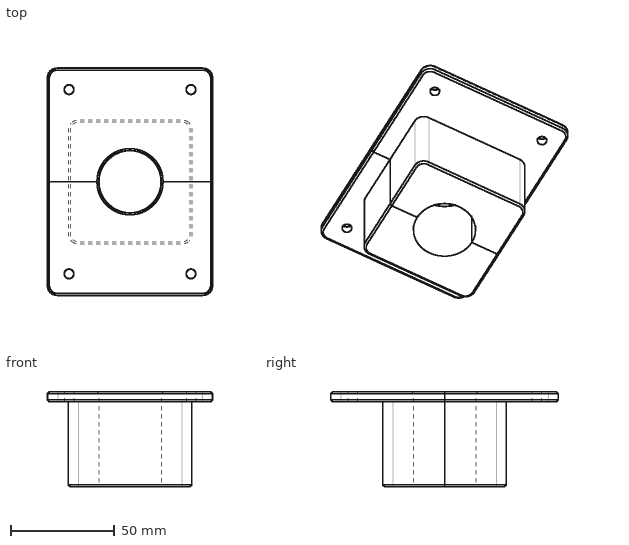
import cadquery as cq

flange_length = 110.0
flange_width = 80.0
flange_thickness = 5.0

total_height = 46.0
block_side = 60.0
block_height = total_height - flange_thickness

corner_radius = 5.0
edge_chamfer = 1.0

bore_diameter = 30.0
countersink_angle = 90.0
mount_hole_diameter = 4.5
mount_hole_x = 29.5
mount_hole_y = 44.5


def make_flange():
    """Rounded plate standing on Z = 0, chamfered around both faces."""
    return (
        cq.Workplane("XY")
        .rect(flange_width, flange_length)
        .extrude(flange_thickness)
        .edges("|Z")
        .fillet(corner_radius)
        .faces("<Z or >Z")
        .edges()
        .chamfer(edge_chamfer)
    )


def make_block():
    """Rounded square block hanging below Z = 0, chamfered at its bottom."""
    return (
        cq.Workplane("XY")
        .rect(block_side, block_side)
        .extrude(-block_height)
        .edges("|Z")
        .fillet(corner_radius)
        .faces("<Z")
        .edges()
        .chamfer(edge_chamfer)
    )


def cut_bore(body):
    """Through bore with a chamfered mouth in the flange face."""
    return body.faces(">Z").workplane(origin=(0, 0, 0)).cskHole(
        bore_diameter, bore_diameter + 2 * edge_chamfer, countersink_angle
    )


def cut_mount_holes(body):
    """Four plain screw holes through the flange."""
    return (
        body.faces(">Z")
        .workplane(origin=(0, 0, 0))
        .rect(2 * mount_hole_x, 2 * mount_hole_y, forConstruction=True)
        .vertices()
        .hole(mount_hole_diameter)
    )


def make_half(side):
    """One half of the housing: side +1 lies at +Y, side -1 at -Y, meeting at Y = 0."""
    half_space = (
        cq.Workplane("XY")
        .box(flange_width, flange_length / 2, 2 * total_height)
        .translate((0, side * flange_length / 4, 0))
    )
    housing = cut_mount_holes(cut_bore(make_flange().union(make_block())))
    return housing.intersect(half_space)


halves = [make_half(side) for side in (-1, 1)]

result = cq.Compound.makeCompound([half.solids().val() for half in halves])